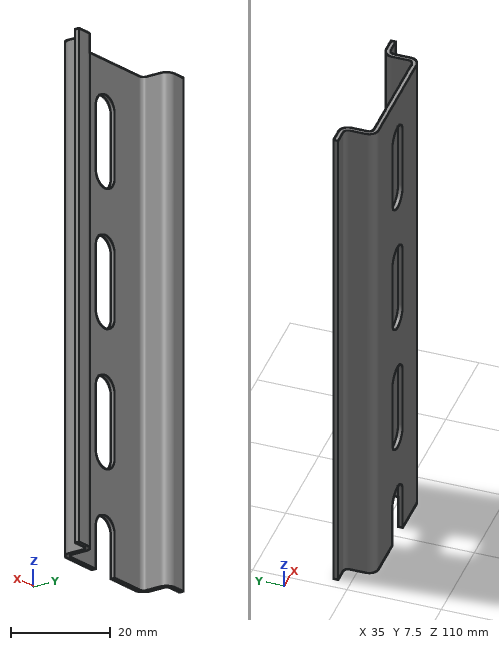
import cadquery as cq

length = 110.0
width = 35.0
depth = 7.5
thickness = 1.0
channel_width = 27.0

inner_bend = 1.0
outer_bend = inner_bend + thickness

slot_width = 6.3
slot_length = 20.0
slot_pitch = 30.0
slot_count = 4
top_margin = 7.5

half_width = width / 2
half_channel = channel_width / 2
half_cavity = half_channel - thickness


def rail_body():
    """Top-hat section with bent corners, extruded along Z."""
    outline = [
        (-half_channel, 0),
        (half_channel, 0),
        (half_channel, depth - thickness),
        (half_width, depth - thickness),
        (half_width, depth),
        (half_cavity, depth),
        (half_cavity, thickness),
        (-half_cavity, thickness),
        (-half_cavity, depth),
        (-half_width, depth),
        (-half_width, depth - thickness),
        (-half_channel, depth - thickness),
    ]
    body = cq.Workplane("XY").polyline(outline).close().extrude(length)

    def bend_edges(x, y):
        """Vertical edges at (x, y) and its mirror image (-x, y)."""
        reach = thickness / 4
        edges = body.edges("|Z")
        return edges.filter(
            lambda edge: abs(abs(edge.Center().x) - x) < reach and abs(edge.Center().y - y) < reach
        )

    outer_corners = [(half_channel, 0), (half_cavity, depth)]
    inner_corners = [(half_cavity, thickness), (half_channel, depth - thickness)]
    for x, y in outer_corners:
        body = bend_edges(x, y).fillet(outer_bend)
    for x, y in inner_corners:
        body = bend_edges(x, y).fillet(inner_bend)
    return body


def web_slots():
    """Evenly spaced slots; the lowest one runs out through the lower end."""
    first_centre = length - top_margin - slot_length / 2
    centres = [(0, first_centre - i * slot_pitch) for i in range(slot_count)]
    return (
        cq.Workplane("XZ")
        .pushPoints(centres)
        .slot2D(slot_length, slot_width, 90)
        .extrude(-depth)
    )


result = rail_body().cut(web_slots())